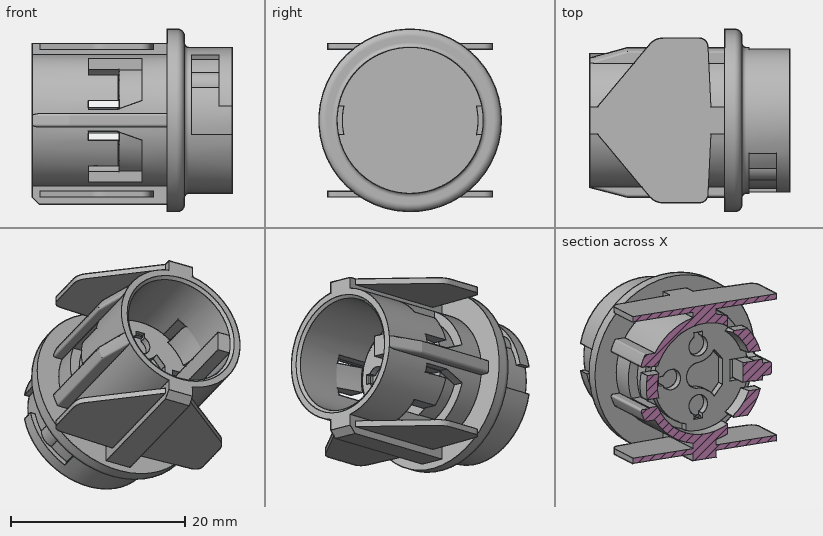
import cadquery as cq
import math

length = 23.0

tube_radius = 7.7
bore_radius = 6.6
insert_radius = 6.55
mouth_radius = 6.95
bore_depth = 9.98
mouth_chamfer = mouth_radius - bore_radius

flange_radius = 21.0 / 2
flange_start = 15.5
flange_end = 17.5
flange_round = 0.83
barrel_radius = 16.8 / 2
barrel_round = 0.5

rib_half_width = 1.55
rib_root = 7.02
plate_face = 8.83
plate_thickness = 0.7
bottom_rib_face = 9.65
bottom_rib_chamfer = bottom_rib_face - plate_face
plate_half_width = 9.48
plate_front = 0.87
plate_front_corner = 7.5
plate_back_corner = 13.55
plate_back = 13.94
plate_front_round = 2.0
plate_back_round = 2.0 / 2

fin_root = 7.18
fin_radius = plate_face
fin_half_width = 0.78
fin_round = 0.32
upper_fin_round = 0.25
fin_edge_limit = 8.16
fin_taper_length = 4.32
upper_fin_low = 2.5
upper_fin_high = 4.02

window_start = 6.46
window_end = 12.63
window_low = 1.26
window_low_end = 2.28
window_slant_start = 9.75
window_side = 3.04
tongue_low = 2.28
tongue_high = 5.22
back_window_half_width = 2.4
back_tongue_half_width = 1.47
side_hook_radius = 5.98
back_hook_radius = 5.86
tongue_trim = 3.86
tongue_end = bore_depth - 0.1

key_half_width = 1.2
key_inner = 5.01
keyway_half_width = 1.29
keyway_inner = 4.19
keyway_outer = 6.37
recess_depth = 0.92
relief_radius = 5.85
relief_edge = 1.6
contact_pitch_radius = 3.55
contact_radius = 1.22
contact_key_half_width = 0.55
contact_key_reach = 5.01
contact_ledge = 0.18
centre_round = 1.55
centre_clearance = contact_pitch_radius - centre_round
centre_flat = 3.2
centre_flat_half = 1.55
centre_tip_y = 2.12
centre_tip_z = 2.78

slot_floor = 7.8
slot_start = 18.33
slot_end = 21.48
slot_half_width = 1.63
slot_top = 7.5
bump_low = 3.75
bump_high = 5.5
bump_rise = 0.28

reach = 13.8
overlap = 0.23

x_axis = ((0, 0, 0), (1, 0, 0))


def box(x_range, y_range, z_range):
    """Box between the given limits."""
    sizes = [high - low for low, high in (x_range, y_range, z_range)]
    corner = (x_range[0], y_range[0], z_range[0])
    return cq.Workplane("XY").box(*sizes, centered=False).translate(corner)


def cylinder(radius, start, end):
    """Cylinder on the X axis."""
    return cq.Workplane("YZ").workplane(offset=start).circle(radius).extrude(end - start)


def turned(points):
    """Solid of revolution about X from (x, radius) points."""
    return cq.Workplane("XY").polyline(points).close().revolve(360, *x_axis)


def mirror_z(body):
    """Mirror image across the horizontal plane through the axis."""
    return body.mirror("XY")


def make_body():
    arc = math.sqrt(0.5)
    flange_centre = (flange_end - flange_round, flange_radius - flange_round)
    blend_centre = (flange_end + barrel_round, barrel_radius + barrel_round)
    return (
        cq.Workplane("XY")
        .moveTo(0, 0)
        .lineTo(0, tube_radius)
        .lineTo(flange_start, tube_radius)
        .lineTo(flange_start, flange_radius)
        .lineTo(flange_centre[0], flange_radius)
        .threePointArc(
            (flange_centre[0] + flange_round * arc, flange_centre[1] + flange_round * arc),
            (flange_end, flange_centre[1]),
        )
        .lineTo(flange_end, blend_centre[1])
        .threePointArc(
            (blend_centre[0] - barrel_round * arc, blend_centre[1] - barrel_round * arc),
            (blend_centre[0], barrel_radius),
        )
        .lineTo(length, barrel_radius)
        .lineTo(length, 0)
        .close()
        .revolve(360, *x_axis)
    )


def make_bore():
    """Bore with a chamfered mouth, running on past the reduced side of the insert."""
    relief_end = bore_depth + recess_depth
    bore = turned([
        (0, 0), (0, mouth_radius), (mouth_chamfer, bore_radius), (relief_end, bore_radius), (relief_end, 0),
    ])
    insert = cylinder(relief_radius, bore_depth, relief_end + overlap)
    insert = insert.union(box((bore_depth, relief_end + overlap), (-reach, relief_edge), (-reach, reach)))
    return bore.cut(insert)


def make_plate():
    half = [
        (plate_front, rib_half_width), (plate_front_corner, plate_half_width),
        (plate_back_corner, plate_half_width), (plate_back, rib_half_width),
    ]
    outline = half + [(x, -y) for x, y in reversed(half)]
    plate = cq.Workplane("XY").polyline(outline).close().extrude(plate_thickness)
    for x, size in ((plate_front_corner, plate_front_round), (plate_back_corner, plate_back_round)):
        corner_zone = cq.selectors.BoxSelector(
            (x - overlap, -reach, -overlap), (x + overlap, reach, plate_thickness + overlap))
        plate = plate.edges("|Z").edges(corner_zone).fillet(size)
    return plate.translate((0, 0, plate_face - plate_thickness))


def make_ribs():
    width = (-rib_half_width, rib_half_width)
    top = box((0, flange_start), width, (rib_root, plate_face))
    bottom = box((0, flange_start), width, (-bottom_rib_face, -rib_root))
    bottom = bottom.faces("<X").edges("<Z").chamfer(bottom_rib_chamfer)
    return top.union(bottom)


def make_side_fin():
    fin = (
        cq.Workplane("XY")
        .polyline([(0, -fin_root), (0, -tube_radius), (fin_taper_length, -fin_radius),
                   (flange_start, -fin_radius), (flange_start, -fin_root)])
        .close().extrude(fin_half_width, both=True)
    )
    outer_edges = cq.selectors.BoxSelector(
        (0, -reach, -fin_half_width - overlap), (flange_start, -fin_edge_limit, fin_half_width + overlap))
    return fin.edges(outer_edges).edges("not |Z").fillet(fin_round)


def make_upper_fin():
    envelope = turned([
        (0, fin_root), (0, tube_radius), (fin_taper_length, fin_radius),
        (flange_start, fin_radius), (flange_start, fin_root),
    ])
    fin = envelope.intersect(box((0, flange_start), (0, reach), (upper_fin_low, upper_fin_high)))
    outer_edges = [
        cq.selectors.BoxSelector(
            (overlap, mouth_radius, z - overlap), (flange_start - overlap, reach, z + overlap))
        for z in (upper_fin_low, upper_fin_high)
    ]
    return fin.edges(outer_edges[0] + outer_edges[1]).fillet(upper_fin_round)


def make_hook_ring(hook_radius):
    """Ring whose inner face ramps from the bore down to the hook tip."""
    return turned([
        (window_start, bore_radius), (tongue_end, hook_radius),
        (tongue_end, tube_radius), (window_start, tube_radius),
    ])


def make_side_window():
    return (
        cq.Workplane("XZ")
        .polyline([(window_start, window_low), (window_slant_start, window_low),
                   (window_end, window_low_end), (window_end, tube_radius), (window_start, tube_radius)])
        .close().extrude(reach)
        .intersect(box((0, length), (-reach, -window_side), (0, reach)))
    )


def make_side_tongue():
    slab = (
        cq.Workplane("YZ").workplane(offset=window_start)
        .polyline([(-reach, tongue_low), (-window_side, tongue_low),
                   (-window_side, tongue_high + window_side - tongue_trim),
                   (-tongue_trim, tongue_high), (-reach, tongue_high)])
        .close().extrude(tongue_end - window_start)
    )
    return make_hook_ring(side_hook_radius).intersect(slab)


def make_back_window():
    half = back_window_half_width
    return box((window_start, window_end), (0, reach), (-half, half))


def make_back_tongue():
    half = back_tongue_half_width
    slab = box((window_start, tongue_end), (0, reach), (-half, half))
    return make_hook_ring(back_hook_radius).intersect(slab)


def make_contact_recess():
    """Contact recess at the +Y position."""
    plane = cq.Workplane("YZ").workplane(offset=bore_depth)
    socket = plane.center(contact_pitch_radius, 0).circle(contact_radius).extrude(recess_depth)
    slot = box(
        (bore_depth, bore_depth + recess_depth),
        (contact_pitch_radius, contact_key_reach),
        (-contact_key_half_width, contact_key_half_width),
    )
    ledge = box(
        (bore_depth, bore_depth + recess_depth / 2),
        (contact_pitch_radius, contact_key_reach + contact_ledge),
        (-contact_key_half_width, contact_key_half_width),
    )
    return socket.union(slot).union(ledge)


def make_centre_recess():
    reach_angle = math.atan2(centre_tip_y, contact_pitch_radius - centre_tip_z) / 2
    mid_y = -centre_clearance * math.sin(reach_angle)
    mid_z = contact_pitch_radius - centre_clearance * math.cos(reach_angle)
    return (
        cq.Workplane("YZ").workplane(offset=bore_depth)
        .moveTo(0, centre_round)
        .threePointArc((mid_y, mid_z), (-centre_tip_y, centre_tip_z))
        .lineTo(-centre_flat, centre_flat_half)
        .lineTo(-centre_flat, -centre_flat_half)
        .lineTo(-centre_tip_y, -centre_tip_z)
        .threePointArc((mid_y, -mid_z), (0, -centre_round))
        .threePointArc((centre_round, 0), (0, centre_round))
        .close().extrude(recess_depth)
    )


def make_bayonet_slot():
    """Slot on the -Y side with an axial entry, an upward leg and a detent bump."""
    ring = cylinder(reach, slot_start, length).cut(cylinder(slot_floor, slot_start, length))
    entry = box((slot_start, length), (-reach, 0), (-slot_half_width, slot_half_width))
    top_y = -math.sqrt(barrel_radius ** 2 - slot_top ** 2)
    leg = (
        cq.Workplane("YZ").workplane(offset=slot_start)
        .polyline([(0, 0), (2 * top_y, 2 * slot_top), (-2 * reach, 0)])
        .close().extrude(slot_end - slot_start)
    )
    bump_low_y = -math.sqrt(slot_floor ** 2 - bump_low ** 2)
    bump_high_y = -math.sqrt(slot_floor ** 2 - bump_high ** 2)
    middle = (math.atan2(bump_low, -bump_low_y) + math.atan2(bump_high, -bump_high_y)) / 2
    crest = slot_floor + bump_rise
    bump = (
        cq.Workplane("YZ").workplane(offset=slot_start)
        .moveTo(bump_low_y, bump_low)
        .threePointArc((-crest * math.cos(middle), crest * math.sin(middle)), (bump_high_y, bump_high))
        .close().extrude(slot_end - slot_start)
    )
    return ring.intersect(entry.union(leg)).cut(bump)


plate = make_plate()
upper_fin = make_upper_fin()
side_window = make_side_window()
side_tongue = make_side_tongue()
contact = make_contact_recess()
slot = make_bayonet_slot()

openings = side_window.union(mirror_z(side_window)).union(make_back_window())
openings = openings.cut(cylinder(insert_radius, 0, length))

result = make_body().union(make_ribs()).union(plate).union(mirror_z(plate))
result = result.cut(openings).cut(make_bore())
result = result.union(make_side_fin()).union(upper_fin).union(mirror_z(upper_fin))

result = result.cut(make_centre_recess())
for angle in (90, 0, -90):
    result = result.cut(contact.rotate(*x_axis, angle))
recess_floor = bore_depth + recess_depth
keyway = box(
    (bore_depth, recess_floor), (-keyway_outer, -keyway_inner), (-keyway_half_width, keyway_half_width))
key = box((mouth_chamfer, recess_floor), (-mouth_radius, -key_inner), (-key_half_width, key_half_width))
result = result.cut(keyway)
result = result.union(key)
result = result.union(side_tongue).union(mirror_z(side_tongue)).union(make_back_tongue())

for angle in (0, 180):
    result = result.cut(slot.rotate(*x_axis, angle))